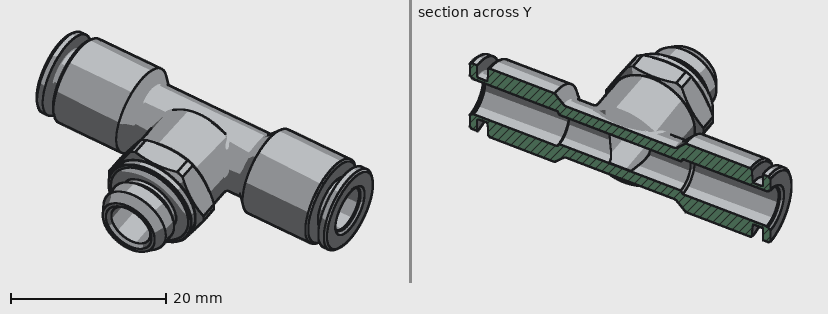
import cadquery as cq
import math

overall_length = 44.6
half_length = overall_length / 2
run_dia = 9.0
run_bore_dia = 5.0

body_dia = 12.0
body_outer_x = 19.6
body_inner_x = 9.7
body_edge_chamfer = 0.27
body_cone_dia = 9.8
body_cone_rise = 0.12
taper_root_radius = 0.5

collar_dia = 11.5
collar_thickness = 1.15
collar_chamfer = 0.3
collar_neck_dia = 7.3
collar_root_radius = 0.2

socket_dia = 6.0
socket_depth = 13.0
socket_stop_slope = math.tan(math.radians(30))
socket_entry_dia = 6.15
socket_entry_depth = 0.55
socket_mouth_dia = 6.9

branch_end_y = -18.0
stem_dia = 12.5
stem_shoulder_y = -1.2
stem_cone_rise = math.tan(math.radians(30))
branch_radius = 0.5

hex_flats = 13.0
hex_corner_dia = 14.5
hex_end_dia = 12.6
hex_top_y = -8.4
hex_bottom_y = -12.0
hex_chamfer_rise = math.tan(math.radians(30))

flange_dia = 12.8
flange_bottom_y = -13.05
flange_chamfer = 0.1
seal_section_radius = 0.9
seal_centre_radius = 5.04
seal_recess = 0.17
thread_neck_dia = 8.3
thread_dia = 9.6
thread_top_y = -14.0
thread_chamfer_y = -16.6
thread_end_dia = 8.0
branch_bore_dia = 6.0
branch_mouth_dia = 7.0


def revolve_about_y(profile):
    return profile.close().revolve(360, (0, 0, 0), (0, 1, 0))


def revolve_about_x(profile):
    return profile.close().revolve(360, (0, 0, 0), (1, 0, 0))


def make_run():
    return cq.Workplane("YZ").circle(run_dia / 2).extrude(body_inner_x, both=True)


def make_stem():
    """Cylinder along Y with a shallow cone at its +Y end and a rounded corner between them."""
    radius = stem_dia / 2
    turn = math.radians(60)
    tangent = branch_radius * math.tan(turn / 2)
    centre_x = radius - branch_radius
    round_start_y = stem_shoulder_y - tangent
    arc_mid = (
        centre_x + branch_radius * math.cos(turn / 2),
        round_start_y + branch_radius * math.sin(turn / 2),
    )
    arc_end = (
        centre_x + branch_radius * math.cos(turn),
        round_start_y + branch_radius * math.sin(turn),
    )
    return revolve_about_y(
        cq.Workplane("XY")
        .moveTo(0, hex_top_y)
        .lineTo(radius, hex_top_y)
        .lineTo(radius, round_start_y)
        .threePointArc(arc_mid, arc_end)
        .lineTo(0, stem_shoulder_y + radius * stem_cone_rise)
    )


def make_tee():
    """Run and stem joined, with the junction rounded."""
    tee = make_run().union(make_stem())
    reach = stem_dia / 2 + 0.1
    junction = cq.selectors.BoxSelector(
        (-reach, -run_dia / 2 - 0.1, -run_dia / 2 - 0.1),
        (reach, 0.2, run_dia / 2 + 0.1),
    )
    return tee.edges(junction).fillet(branch_radius)


def make_socket_body():
    """Socket body, taper and release collar at the +X end."""
    run_radius = run_dia / 2
    body_radius = body_dia / 2
    neck_radius = collar_neck_dia / 2
    collar_radius = collar_dia / 2
    collar_inner_x = half_length - collar_thickness

    turn = math.radians(45)
    taper_end_x = body_inner_x - (body_radius - run_radius)
    tangent = taper_root_radius * math.tan(turn / 2)
    root_start_x = taper_end_x - tangent
    root_centre_r = run_radius + taper_root_radius
    root_mid = (
        root_start_x + taper_root_radius * math.sin(turn / 2),
        root_centre_r - taper_root_radius * math.cos(turn / 2),
    )
    root_end = (
        root_start_x + taper_root_radius * math.sin(turn),
        root_centre_r - taper_root_radius * math.cos(turn),
    )
    collar_root_mid = (
        collar_inner_x - collar_root_radius * (1 - math.sin(turn)),
        neck_radius + collar_root_radius * (1 - math.cos(turn)),
    )
    return revolve_about_x(
        cq.Workplane("XY")
        .moveTo(root_start_x, 0)
        .lineTo(root_start_x, run_radius)
        .threePointArc(root_mid, root_end)
        .lineTo(body_inner_x, body_radius)
        .lineTo(body_outer_x - body_edge_chamfer, body_radius)
        .lineTo(body_outer_x, body_radius - body_edge_chamfer)
        .lineTo(body_outer_x, body_cone_dia / 2)
        .lineTo(body_outer_x + body_cone_rise, neck_radius)
        .lineTo(collar_inner_x - collar_root_radius, neck_radius)
        .threePointArc(collar_root_mid, (collar_inner_x, neck_radius + collar_root_radius))
        .lineTo(collar_inner_x, collar_radius)
        .lineTo(half_length - collar_chamfer, collar_radius)
        .lineTo(half_length, collar_radius - collar_chamfer)
        .lineTo(half_length, 0)
    )


def make_socket_bore():
    """Tube socket at the +X end: chamfered mouth, short entry step, bore and a conical stop."""
    socket_radius = socket_dia / 2
    entry_radius = socket_entry_dia / 2
    mouth_radius = socket_mouth_dia / 2
    stop_radius = run_bore_dia / 2
    entry_x = half_length - socket_entry_depth
    stop_x = half_length - socket_depth
    stop_end_x = stop_x - (socket_radius - stop_radius) * socket_stop_slope
    return revolve_about_x(
        cq.Workplane("XY")
        .moveTo(half_length, 0)
        .lineTo(half_length, mouth_radius)
        .lineTo(half_length - (mouth_radius - entry_radius), entry_radius)
        .lineTo(entry_x, entry_radius)
        .lineTo(entry_x, socket_radius)
        .lineTo(stop_x, socket_radius)
        .lineTo(stop_end_x, stop_radius)
        .lineTo(stop_end_x, 0)
    )


def make_hex():
    """Hexagon with flats facing +Z and -Z, its corners turned down and both ends chamfered."""
    corner_radius = hex_corner_dia / 2
    end_radius = hex_end_dia / 2
    prism = (
        cq.Workplane("XZ", origin=(0, hex_top_y, 0))
        .polygon(6, hex_flats / math.cos(math.radians(30)))
        .extrude(hex_top_y - hex_bottom_y)
    )
    envelope = revolve_about_y(
        cq.Workplane("XY")
        .moveTo(0, hex_top_y)
        .lineTo(end_radius, hex_top_y)
        .lineTo(corner_radius, hex_top_y - (corner_radius - end_radius) * hex_chamfer_rise)
        .lineTo(corner_radius, hex_bottom_y + (corner_radius - end_radius) * hex_chamfer_rise)
        .lineTo(end_radius, hex_bottom_y)
        .lineTo(0, hex_bottom_y)
    )
    return prism.intersect(envelope)


def make_threaded_end():
    """Flange, seal ring and threaded spigot below the hexagon."""
    flange_radius = flange_dia / 2
    neck_radius = thread_neck_dia / 2
    thread_radius = thread_dia / 2
    seal_half_width = math.sqrt(seal_section_radius**2 - seal_recess**2)
    seal_bottom_y = flange_bottom_y + seal_recess - seal_section_radius
    return revolve_about_y(
        cq.Workplane("XY")
        .moveTo(0, hex_bottom_y)
        .lineTo(flange_radius, hex_bottom_y)
        .lineTo(flange_radius, flange_bottom_y + flange_chamfer)
        .lineTo(flange_radius - flange_chamfer, flange_bottom_y)
        .lineTo(seal_centre_radius + seal_half_width, flange_bottom_y)
        .threePointArc(
            (seal_centre_radius, seal_bottom_y),
            (seal_centre_radius - seal_half_width, flange_bottom_y),
        )
        .lineTo(neck_radius, flange_bottom_y)
        .lineTo(neck_radius, thread_top_y)
        .lineTo(thread_radius, thread_top_y - (thread_radius - neck_radius))
        .lineTo(thread_radius, thread_chamfer_y)
        .lineTo(thread_end_dia / 2, branch_end_y)
        .lineTo(0, branch_end_y)
    )


def make_branch_bore():
    """Branch bore with a chamfered mouth, ending on the axis of the run."""
    bore_radius = branch_bore_dia / 2
    mouth_radius = branch_mouth_dia / 2
    return revolve_about_y(
        cq.Workplane("XY")
        .lineTo(bore_radius, 0)
        .lineTo(bore_radius, branch_end_y + (mouth_radius - bore_radius))
        .lineTo(mouth_radius, branch_end_y)
        .lineTo(0, branch_end_y)
    )


socket_body = make_socket_body()
socket_bore = make_socket_bore()
run_bore = cq.Workplane("YZ").circle(run_bore_dia / 2).extrude(half_length, both=True)

result = make_tee().union(make_hex()).union(make_threaded_end())
for body in (socket_body, socket_body.mirror("YZ")):
    result = result.union(body)
for bore in (run_bore, socket_bore, socket_bore.mirror("YZ"), make_branch_bore()):
    result = result.cut(bore)